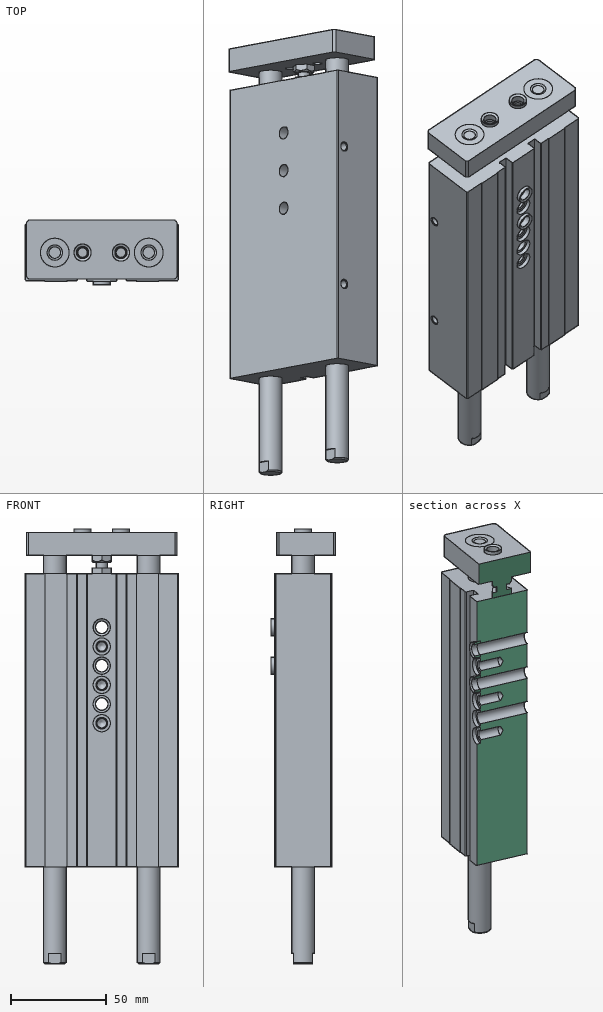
import cadquery as cq
import math

housing_width = 80.0
housing_depth = 30.0
housing_height = 153.0
housing_front_y = -housing_depth / 2
housing_corner = 0.6

pad_height = 0.3
pad_inner_x = 18.2
pad_outer_x = 29.7

slot_x = 10.25
slot_width = 4.8
slot_depth = 5.0
slot_bevel = 0.45

rod_dia = 12.0
rod_x = 24.5
rod_extension = 50.5
rod_head_dia = 15.0
rod_head_height = 6.0
rod_centre_outer_dia = 8.0
rod_centre_inner_dia = 6.0
rod_centre_depth = 0.5
rod_end_chamfer = 0.8
rod_flat_width = 10.0
rod_flat_height = 5.5

plate_gap = 9.5
plate_width = 78.6
plate_depth = 30.8
plate_height = 12.0
plate_back_y = 17.0
plate_corner = 1.2
plate_bottom = housing_height + plate_gap
plate_top = plate_bottom + plate_height
plate_hole_x = 10.0

sleeve_outer_dia = 9.0
sleeve_inner_dia = 6.4
sleeve_mouth_dia = 8.88
sleeve_bevel_depth = 0.6
sleeve_seat_depth = 2.1
sleeve_protrusion = 1.8
sleeve_length = sleeve_seat_depth + sleeve_protrusion

mount_hole_count = 6
mount_hole_pitch = 10.0
mount_first_z = housing_height - 28.0
mount_through_dia = 6.4

thread_dia = 6.0
thread_core_dia = 4.92
thread_depth = 12.0

port_dia = 5.0
port_core_dia = 4.13
port_depth = 8.0
port_y = 10.3
port_end_distance = 40.0

drill_tip_angle = 118.0

stop_across_flats = 10.0
stop_nut_height = 3.7
stop_nut_rim_dia = 9.0
stop_head_height = 3.0
stop_shank_dia = 6.0


def cylinder(dia, length, start, direction):
    solid = cq.Solid.makeCylinder(dia / 2, length, cq.Vector(*start), cq.Vector(*direction))
    return cq.Workplane(obj=solid)


def tapped_hole(dia, core_dia, depth, start, direction):
    """Core bore with a drill tip and a bevel up to the thread diameter at the mouth."""
    core_radius = core_dia / 2
    bevel = (dia - core_dia) / 2
    tip = core_radius / math.tan(math.radians(drill_tip_angle / 2))
    profile = [
        (0, 0),
        (dia / 2, 0),
        (core_radius, bevel),
        (core_radius, depth),
        (0, depth + tip),
    ]
    hole = cq.Workplane("XZ").polyline(profile).close().revolve(360, (0, 0, 0), (0, 1, 0))
    frame = cq.Plane(origin=start, normal=direction)
    return cq.Workplane(obj=hole.val().moved(cq.Location(frame)))


def sleeve(start, direction):
    """Centring sleeve whose outer end is at `start` and which runs along `direction`."""
    outer = sleeve_outer_dia / 2
    inner = sleeve_inner_dia / 2
    profile = [
        (sleeve_mouth_dia / 2, 0),
        (outer, 0),
        (outer, sleeve_length),
        (inner, sleeve_length),
        (inner, sleeve_bevel_depth),
    ]
    ring = cq.Workplane("XZ").polyline(profile).close().revolve(360, (0, 0, 0), (0, 1, 0))
    frame = cq.Plane(origin=start, normal=direction)
    return cq.Workplane(obj=ring.val().moved(cq.Location(frame)))


def slot_cutter(side):
    """Rectangular slot with bevelled mouth edges; its outer edge lies on the lower face beside the pad."""
    inner_x = side * (slot_x - slot_width / 2)
    outer_x = side * (slot_x + slot_width / 2)
    bevel = side * slot_bevel
    low_face_y = housing_front_y + pad_height
    floor_y = housing_front_y + slot_depth
    outline = [
        (inner_x - bevel, housing_front_y),
        (outer_x + bevel, housing_front_y),
        (outer_x + bevel, low_face_y),
        (outer_x, low_face_y + slot_bevel),
        (outer_x, floor_y),
        (inner_x, floor_y),
        (inner_x, housing_front_y + slot_bevel),
    ]
    return cq.Workplane("XY").polyline(outline).close().extrude(housing_height)


mount_zs = [mount_first_z - i * mount_hole_pitch for i in range(mount_hole_count)]
sleeved_mount_zs = (mount_zs[0], mount_zs[2])
into_housing = (0, 1, 0)
down = (0, 0, -1)


def make_housing():
    """Housing with front pads, slots, rod bores, mounting holes and air ports."""
    core_depth = housing_depth - pad_height
    body = (
        cq.Workplane("XY").box(housing_width, core_depth, housing_height, centered=(True, True, False))
        .edges("|Z").chamfer(housing_corner)
        .translate((0, pad_height / 2, 0))
    )
    side_pad_width = pad_outer_x - pad_inner_x
    side_pad_x = (pad_inner_x + pad_outer_x) / 2
    for x, width in ((-side_pad_x, side_pad_width), (0, 2 * slot_x), (side_pad_x, side_pad_width)):
        pad = cq.Workplane("XY").box(width, 2 * pad_height, housing_height, centered=(True, True, False))
        body = body.union(pad.translate((x, housing_front_y + pad_height, 0)))
    for side in (-1, 1):
        body = body.cut(slot_cutter(side))
        body = body.cut(cylinder(rod_dia, housing_height, (side * rod_x, 0, 0), (0, 0, 1)))
    for i, z in enumerate(mount_zs):
        mouth = (0, housing_front_y, z)
        body = body.cut(cylinder(sleeve_outer_dia, sleeve_seat_depth, mouth, into_housing))
        if i % 2 == 0:
            body = body.cut(cylinder(mount_through_dia, housing_depth, mouth, into_housing))
        else:
            seat = (0, housing_front_y + sleeve_seat_depth, z)
            body = body.cut(tapped_hole(thread_dia, thread_core_dia, thread_depth, seat, into_housing))
    for z in (port_end_distance, housing_height - port_end_distance):
        mouth = (-housing_width / 2, port_y, z)
        body = body.cut(tapped_hole(port_dia, port_core_dia, port_depth, mouth, (1, 0, 0)))
    return body


def make_stop():
    """Stop screw with its lock nut, fixed to the underside of the plate and resting on the housing."""
    shank = cylinder(stop_shank_dia, plate_gap, (0, 0, housing_height), (0, 0, 1))
    corner_dia = stop_across_flats / math.cos(math.pi / 6)

    def hexagon(z, height):
        return (
            cq.Workplane("XY").polygon(6, corner_dia).extrude(height)
            .rotate((0, 0, 0), (0, 0, 1), 30).translate((0, 0, z))
        )

    head = hexagon(housing_height, stop_head_height)
    nut = hexagon(plate_bottom - stop_nut_height, stop_nut_height)
    cone_radius = stop_nut_rim_dia / 2
    cone_height = 2 * stop_nut_height
    cone_base = cq.Vector(0, 0, plate_bottom - stop_nut_height)
    cone = cq.Solid.makeCone(cone_radius, cone_radius + cone_height, cone_height, cone_base)
    return shank.union(head).union(nut.intersect(cq.Workplane(obj=cone)))


def make_plate():
    """End plate with rod seats and tapped sleeve holes, in one piece with the stop screw."""
    plate = cq.Workplane("XY").box(plate_width, plate_depth, plate_height, centered=(True, True, False))
    plate = plate.edges("|Z").chamfer(plate_corner)
    plate = plate.translate((0, plate_back_y - plate_depth / 2, plate_bottom))
    for side in (-1, 1):
        plate = plate.cut(cylinder(rod_dia, plate_height, (side * rod_x, 0, plate_top), down))
        plate = plate.cut(cylinder(rod_head_dia, rod_head_height, (side * rod_x, 0, plate_top), down))
        x = side * plate_hole_x
        plate = plate.cut(cylinder(sleeve_outer_dia, sleeve_seat_depth, (x, 0, plate_top), down))
        seat = (x, 0, plate_top - sleeve_seat_depth)
        plate = plate.cut(tapped_hole(thread_dia, thread_core_dia, plate_height, seat, down))
    return plate.union(make_stop())


def make_rod(x):
    """Guide rod through housing and plate, with wrench flats below and a flush head above."""
    rod = cylinder(rod_dia, rod_extension + plate_top, (x, 0, -rod_extension), (0, 0, 1))
    rod = rod.faces("<Z").chamfer(rod_end_chamfer)
    flats = cq.Workplane("XY").box(rod_dia, rod_dia, rod_flat_height, centered=(True, True, False))
    flats = flats.cut(cq.Workplane("XY").box(rod_dia, rod_flat_width, 2 * rod_flat_height))
    rod = rod.cut(flats.translate((x, 0, -rod_extension)))
    rod = rod.union(cylinder(rod_head_dia, rod_head_height, (x, 0, plate_top), down))
    recess = cq.Solid.makeCone(
        rod_centre_outer_dia / 2,
        rod_centre_inner_dia / 2,
        rod_centre_depth,
        cq.Vector(x, 0, plate_top),
        cq.Vector(*down),
    )
    return rod.cut(cq.Workplane(obj=recess))


housing = make_housing()
plate = make_plate()
rods = [make_rod(side * rod_x) for side in (-1, 1)]
sleeves = [sleeve((side * plate_hole_x, 0, plate_top + sleeve_protrusion), down) for side in (-1, 1)]
sleeves += [sleeve((0, housing_front_y - sleeve_protrusion, z), into_housing) for z in sleeved_mount_zs]

result = cq.Compound.makeCompound([
    housing.val(),
    plate.val(),
    *[rod.val() for rod in rods],
    *[ring.val() for ring in sleeves],
])